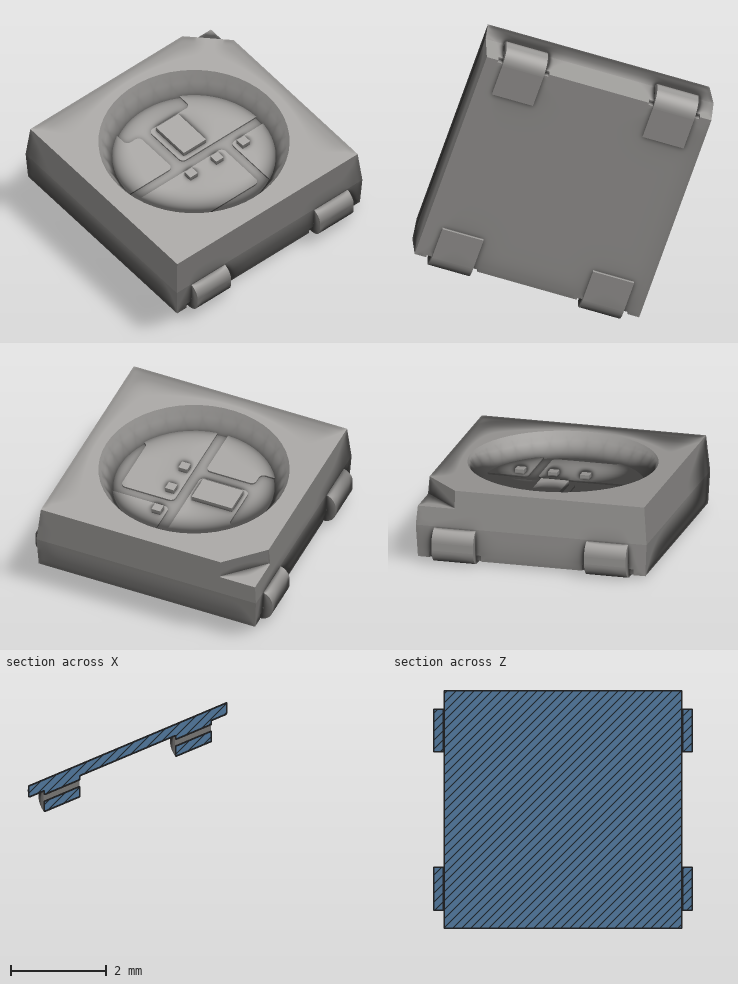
import cadquery as cq
import math

overall_length = 5.4
overall_height = 1.57

body_width = 5.0
body_bottom = 0.07
parting_height = 0.77
upper_draft = 5.0
lower_draft = 3.0

notch_leg = 0.76
notch_depth = 0.39

cavity_top_radius = 2.0
cavity_floor_radius = 1.685
cavity_depth = 0.5
cavity_floor = overall_height - cavity_depth

plate_thickness = 0.04
plate_corner_radius = 0.11
left_plate_edge = -0.03
right_plate_edge = 0.2
left_step_x = -1.14
right_step_x = 1.415
upper_plate_y = 0.82
upper_left_bottom_y = -0.29
lower_left_top_y = -0.545
lower_left_step_y = -0.885
lower_right_top_y = 0.605
lower_right_step_y = -0.815
plate_reach = body_width / 2

large_chip_size = (0.92, 0.6)
large_chip_center = (-0.595, 0.135)
small_chip_size = (0.2, 0.2)
small_chip_x = 0.385
small_chip_ys = (1.02, 0.31, -0.39)
chip_height = 0.1

lead_width = 0.9
lead_y = 1.65
lead_height = 0.755
strip_thickness = 0.2
lower_bend_radius = 0.3
upper_bend_radius = 0.285
foot_length = 1.015

relief_side_gap = 0.11
relief_depth = 0.285
relief_top = 0.2


def make_frustum(height, draft):
    """Square block standing on the parting plane that narrows upward."""
    return cq.Workplane("XY").rect(body_width, body_width).extrude(height, taper=draft)


def make_body():
    """Housing block that tapers both up and down from the parting plane."""
    upper = make_frustum(overall_height - parting_height, upper_draft)
    lower = make_frustum(parting_height - body_bottom, lower_draft).mirror("XY")
    return upper.union(lower).translate((0, 0, parting_height))


def make_corner_notch():
    """Prism that removes the top corner at -X, +Y; its ends leave square to the drafted sides."""
    outside = body_width / 2
    top_edge = outside - (overall_height - parting_height) * math.tan(math.radians(upper_draft))
    notch_start = top_edge - notch_leg
    return (
        cq.Workplane("XY")
        .workplane(offset=overall_height - notch_depth)
        .moveTo(-outside, notch_start)
        .lineTo(-top_edge, notch_start)
        .lineTo(-notch_start, top_edge)
        .lineTo(-notch_start, outside)
        .lineTo(-outside, outside)
        .close()
        .extrude(notch_depth)
    )


def make_cavity():
    """Cone frustum that widens from the cavity floor to the top face."""
    return (
        cq.Workplane("XZ")
        .moveTo(0, cavity_floor)
        .lineTo(cavity_floor_radius, cavity_floor)
        .lineTo(cavity_top_radius, overall_height)
        .lineTo(0, overall_height)
        .close()
        .revolve(360, (0, 0, 0), (0, 1, 0))
    )


def make_plate(points, rounded_corners):
    """Plate on the cavity floor, rounded at the listed corners."""
    floor = cq.Workplane("XY").workplane(offset=cavity_floor)
    plate = floor.polyline(points).close().extrude(plate_thickness)
    for x, y in rounded_corners:
        nearest = cq.selectors.NearestToPointSelector((x, y, cavity_floor + plate_thickness / 2))
        plate = plate.edges("|Z").edges(nearest).fillet(plate_corner_radius)
    return plate


def make_plates(cavity):
    """Four contact plates, trimmed to the cavity wall."""
    upper_left = [
        (left_plate_edge, plate_reach),
        (left_plate_edge, upper_left_bottom_y),
        (left_step_x, upper_left_bottom_y),
        (left_step_x, upper_plate_y),
        (-plate_reach, upper_plate_y),
        (-plate_reach, plate_reach),
    ]
    lower_left = [
        (left_plate_edge, -plate_reach),
        (left_plate_edge, lower_left_top_y),
        (left_step_x, lower_left_top_y),
        (left_step_x, lower_left_step_y),
        (-plate_reach, lower_left_step_y),
        (-plate_reach, -plate_reach),
    ]
    upper_right = [
        (right_plate_edge, plate_reach),
        (right_plate_edge, upper_plate_y),
        (plate_reach, upper_plate_y),
        (plate_reach, plate_reach),
    ]
    lower_right = [
        (right_plate_edge, -plate_reach),
        (right_plate_edge, lower_right_top_y),
        (right_step_x, lower_right_top_y),
        (right_step_x, lower_right_step_y),
        (plate_reach, lower_right_step_y),
        (plate_reach, -plate_reach),
    ]
    plates = make_plate(upper_right, upper_right[1:2])
    for outline in (upper_left, lower_left, lower_right):
        plates = plates.union(make_plate(outline, outline[1:4]))
    return plates.intersect(cavity)


def make_chip(size, center):
    """Rectangular chip standing through a plate from the cavity floor."""
    return (
        cq.Workplane("XY")
        .workplane(offset=cavity_floor)
        .center(*center)
        .rect(*size)
        .extrude(plate_thickness + chip_height)
    )


def place_at_leads(shape):
    """Copies of a shape made at Y = 0 on the -X side, at all four lead places."""
    pair = shape.translate((0, lead_y, 0)).union(shape.translate((0, -lead_y, 0)))
    return pair.union(pair.mirror("YZ"))


def make_lead():
    """Lead at Y = 0 on the -X side: foot, solid quarter-round bends and a flat strip."""
    outer = -overall_length / 2
    lower_center = outer + lower_bend_radius
    upper_center = outer + upper_bend_radius
    strip_top = lead_height - upper_bend_radius
    diagonal = math.sqrt(0.5)
    section = cq.Workplane("XZ")
    lower_bend = (
        section.moveTo(outer, lower_bend_radius)
        .threePointArc(
            (lower_center - lower_bend_radius * diagonal, lower_bend_radius * (1 - diagonal)),
            (lower_center, 0),
        )
        .lineTo(outer + foot_length, 0)
        .lineTo(outer + foot_length, body_bottom)
        .lineTo(lower_center, body_bottom)
        .lineTo(lower_center, lower_bend_radius)
        .close()
        .extrude(lead_width / 2, both=True)
    )
    strip = (
        section.moveTo(outer, lower_bend_radius)
        .lineTo(outer + strip_thickness, lower_bend_radius)
        .lineTo(outer + strip_thickness, strip_top)
        .lineTo(outer, strip_top)
        .close()
        .extrude(lead_width / 2, both=True)
    )
    upper_bend = (
        section.moveTo(outer, strip_top)
        .threePointArc(
            (upper_center - upper_bend_radius * diagonal, strip_top + upper_bend_radius * diagonal),
            (upper_center, lead_height),
        )
        .lineTo(upper_center, strip_top)
        .close()
        .extrude(lead_width / 2, both=True)
    )
    return lower_bend.union(strip).union(upper_bend)


def make_relief():
    """Relief at Y = 0 on the -X side, cut into the housing beside the lower bend."""
    outer = -overall_length / 2
    relief_width = lead_width + 2 * relief_side_gap
    return (
        cq.Workplane("XY")
        .box(relief_depth, relief_width, relief_top, centered=(False, True, False))
        .translate((outer, 0, 0))
    )


cavity = make_cavity()
body = make_body().cut(make_corner_notch()).cut(cavity).cut(place_at_leads(make_relief()))
result = body.union(make_plates(cavity)).union(place_at_leads(make_lead()))
result = result.union(make_chip(large_chip_size, large_chip_center))
for chip_y in small_chip_ys:
    result = result.union(make_chip(small_chip_size, (small_chip_x, chip_y)))